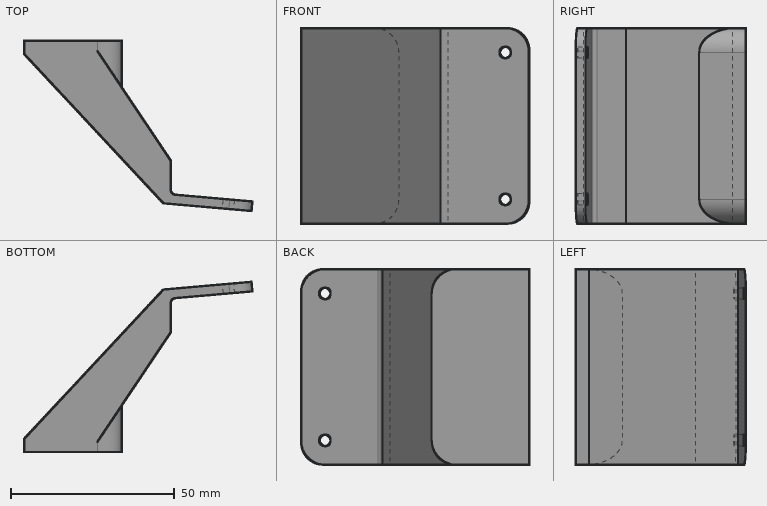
import cadquery as cq
import math

length = 70.0
depth = 52.2
height = 60.0

left_wall_front = 48.15
bend_x = 42.7
back_land_end = 22.5
back_land_front = 49.1
heel_x = 45.0
heel_back = 15.5

flange_angle = 5.0
flange_thickness = 3.0
heel_fillet = 1.5
flange_corner_radius = 7.0
hole_diameter = 3.5
hole_end_inset = 7.3
hole_side_inset = 7.5

boss_radius = 7.5
boss_start = back_land_end - boss_radius
boss_end = back_land_end + boss_radius

tilt = math.radians(flange_angle)
flange_front_end = length - flange_thickness * math.sin(tilt)
flange_back_end = flange_thickness * math.cos(tilt)
bend_y = (flange_front_end - bend_x) * math.tan(tilt)
heel_front = flange_back_end + (length - heel_x) * math.tan(tilt)
flange_length = (flange_front_end - bend_x) / math.cos(tilt)


def make_body():
    """Extruded profile: sloped body and tilted flange, rounded at the inside heel and flange end."""
    outline = [
        (0, depth),
        (0, left_wall_front),
        (bend_x, bend_y),
        (flange_front_end, 0),
        (length, flange_back_end),
        (heel_x, heel_front),
        (heel_x, heel_back),
        (back_land_end, back_land_front),
        (back_land_end, depth),
    ]
    body = cq.Workplane("XY").polyline(outline).close().extrude(height)
    heel_edge = cq.selectors.NearestToPointSelector((heel_x, heel_front, height / 2))
    body = body.edges(heel_edge).fillet(heel_fillet)
    end_center = ((flange_front_end + length) / 2, flange_back_end / 2, height / 2)
    end_face = body.faces(cq.selectors.NearestToPointSelector(end_center))
    return end_face.edges("not |Z").fillet(flange_corner_radius)


def make_boss():
    """Rear block with rounded right corners, running forward until it meets the sloped back face."""
    back_slope = (back_land_front - heel_back) / (heel_x - back_land_end)
    boss_front = back_land_front - (boss_end - back_land_end) * back_slope
    return (
        cq.Workplane("XY")
        .box(boss_end - boss_start, depth - boss_front, height, centered=False)
        .translate((boss_start, boss_front, 0))
        .edges("|Y and >X")
        .fillet(boss_radius)
    )


def cut_flange_holes(part):
    """Drill through the flange, square to it, near its rounded corners."""
    flange_plane = cq.Plane(
        origin=(bend_x, bend_y, 0),
        xDir=(math.cos(tilt), -math.sin(tilt), 0),
        normal=(math.sin(tilt), math.cos(tilt), 0),
    )
    centers = [(flange_length - hole_end_inset, -z) for z in (hole_side_inset, height - hole_side_inset)]
    drills = cq.Workplane(flange_plane).pushPoints(centers).circle(hole_diameter / 2)
    return part.cut(drills.extrude(2 * flange_thickness, both=True))


result = cut_flange_holes(make_body().union(make_boss()))